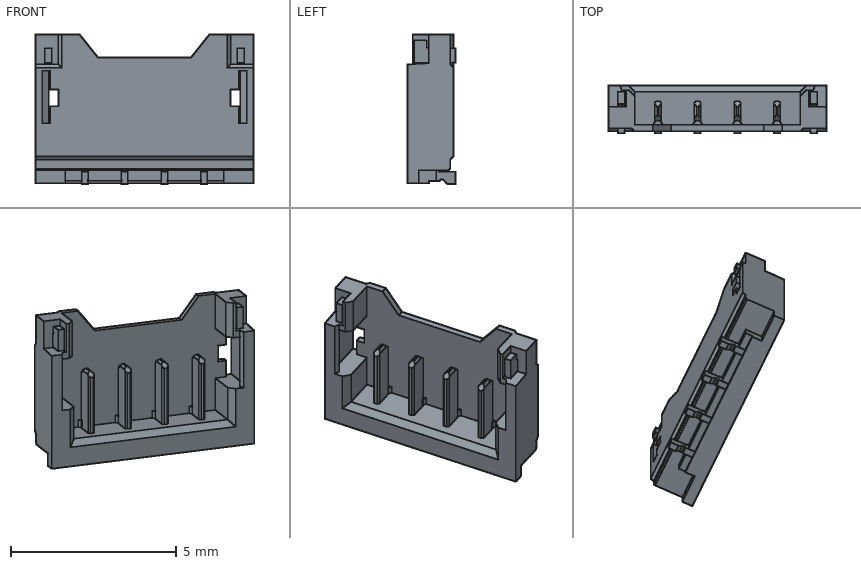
import cadquery as cq


width = 6.6
half_width = width / 2
depth = 1.39
height = 4.53
foot_bottom = 0.025
underside = 0.42

plate_thickness = 0.205
step_depth = 0.1
step_top = 0.845
step_bottom_chamfer = 0.05
notch_bottom = 3.835
notch_half_bottom = 1.405
notch_half_top = 1.96

cavity_half = 2.5
floor_top = 0.83
mouth_chamfer = 0.19

ear_step_y = 0.745
ear_back = 1.24
ear_step_half = 2.765
ear_chamfer = 0.17
ledge_back_z = 3.625
ledge_front_z = 3.655
recess_half = 2.61
recess_side_run = 0.105
recess_bottom = 3.625

window_outer_half = 3.095
window_inner_half = 2.86
window_bottom = 1.85
window_top = 3.425
window_tab_half = 2.6
window_tab_bottom = 2.36
window_tab_top = 2.865
pocket_slope_y = 1.115
pocket_neck_half = 2.89
pocket_mouth_half = 2.95

foot_front = 1.055
block_half = 2.4
block_front = 0.52
block_step_y = 0.74
block_bottom = 0.105

nail_width = 0.2
nail_center = 2.91
nail_bottom = 3.675
nail_top = 4.355
nail_corner_chamfer = 0.03
nail_neck_y = 0.805
nail_neck_bottom = 4.145
nail_root_top = 4.085
nail_back = 1.195
tab_top = 4.12

pin_count = 4
pin_pitch = 1.2
pin_width = 0.2
pin_front = 0.32
pin_back = 0.92
pin_edge_chamfer = 0.05
pin_top = 2.77
pin_end_bevel = 0.165
pin_side_bevel = 0.07
rib_front_half = 0.15
rib_back_half = 0.065
rib_top = 1.055
tail_front = -0.06
tail_top = 0.38
tail_step_y = 0.44
tail_root_bottom = 0.09
arch_root_y = 0.42
arch_back = 0.39
arch_front = 0.32
arch_top = 0.14
tail_heel = 0.185


def box(x0, x1, y0, y1, z0, z1):
    """Box given by its limits along each axis."""
    return cq.Workplane("XY").box(x1 - x0, y1 - y0, z1 - z0, centered=False).translate((x0, y0, z0))


def side_prism(points, x0, x1):
    """Prism along X with a (y, z) outline."""
    return cq.Workplane("YZ").workplane(offset=x0).polyline(points).close().extrude(x1 - x0)


def plan_prism(points, z0, z1):
    """Prism along Z with an (x, y) outline."""
    return cq.Workplane("XY").workplane(offset=z0).polyline(points).close().extrude(z1 - z0)


def front_prism(points, y0, y1):
    """Prism along Y with an (x, z) outline."""
    return cq.Workplane("XZ").workplane(offset=-y1).polyline(points).close().extrude(y1 - y0)


def both_sides(shape):
    """A shape on the right side together with its mirror image on the left."""
    return shape.union(shape.mirror("YZ"))


def housing_block():
    outline = [
        (0, height),
        (0, step_top),
        (step_depth, step_top - step_depth),
        (step_depth, underside + step_bottom_chamfer),
        (step_depth + step_bottom_chamfer, underside),
        (foot_front, underside),
        (foot_front, foot_bottom),
        (depth, foot_bottom),
        (depth, height),
    ]
    return side_prism(outline, -half_width, half_width)


def middle_block():
    outline = [
        (block_front, underside),
        (block_front, block_bottom),
        (block_step_y, block_bottom),
        (block_step_y, foot_bottom),
        (foot_front, foot_bottom),
        (foot_front, underside),
    ]
    return side_prism(outline, -block_half, block_half)


def cavity():
    room = box(-cavity_half, cavity_half, plate_thickness, depth, floor_top, height)
    mouth_half = cavity_half + mouth_chamfer
    side_flare = plan_prism(
        [(-cavity_half, depth - mouth_chamfer), (cavity_half, depth - mouth_chamfer),
         (mouth_half, depth), (-mouth_half, depth)],
        floor_top - mouth_chamfer, height)
    floor_flare = side_prism(
        [(depth - mouth_chamfer, floor_top), (depth, floor_top - mouth_chamfer),
         (depth, height), (depth - mouth_chamfer, height)],
        -mouth_half, mouth_half)
    return room.union(side_flare.intersect(floor_flare))


def plate_notch():
    outline = [
        (-notch_half_bottom, notch_bottom),
        (notch_half_bottom, notch_bottom),
        (notch_half_top, height),
        (-notch_half_top, height),
    ]
    return front_prism(outline, 0, plate_thickness)


def ear_cuts():
    ledge = side_prism(
        [(ear_step_y, ledge_front_z), (depth, ledge_back_z), (depth, height),
         (ear_step_y, height)],
        ear_step_half, half_width)
    back = box(cavity_half, ear_step_half, ear_back, depth, ledge_back_z, height)
    inner_corner = plan_prism(
        [(cavity_half, ear_back - ear_chamfer), (cavity_half + ear_chamfer, ear_back),
         (cavity_half, ear_back)],
        window_top, height)
    return both_sides(ledge.union(back).union(inner_corner))


def ear_front_recess():
    top_flank = side_prism(
        [(0, recess_bottom - step_depth), (step_depth, recess_bottom), (step_depth, height), (0, height)],
        recess_half - recess_side_run, half_width)
    side_flank = plan_prism(
        [(recess_half - recess_side_run, 0), (recess_half, step_depth),
         (half_width, step_depth), (half_width, 0)],
        recess_bottom - step_depth, height)
    return both_sides(top_flank.intersect(side_flank))


def latch_openings():
    slot = box(window_inner_half, window_outer_half, 0, plate_thickness, window_bottom, window_top)
    tab = box(window_tab_half, window_inner_half, 0, plate_thickness, window_tab_bottom, window_tab_top)
    pocket = plan_prism(
        [(cavity_half, plate_thickness), (window_outer_half, plate_thickness),
         (window_outer_half, pocket_slope_y), (pocket_neck_half, ear_back),
         (pocket_mouth_half, depth), (cavity_half, depth)],
        window_bottom, window_top)
    pocket_exit = plan_prism(
        [(cavity_half, ear_back), (pocket_neck_half, ear_back), (pocket_mouth_half, depth),
         (cavity_half, depth)],
        window_top, height)
    return both_sides(slot.union(tab).union(pocket).union(pocket_exit))


def nails():
    x0 = nail_center - nail_width / 2
    x1 = nail_center + nail_width / 2
    outline = [
        (ear_step_y, nail_bottom),
        (nail_back, nail_bottom),
        (nail_back, nail_top),
        (nail_neck_y + nail_corner_chamfer, nail_top),
        (nail_neck_y, nail_top - nail_corner_chamfer),
        (nail_neck_y, nail_neck_bottom),
        (ear_step_y, nail_root_top),
    ]
    back_tab = side_prism(outline, x0, x1)
    front_tab = box(x0, x1, tail_front, step_depth, nail_bottom, tab_top)
    return both_sides(back_tab.union(front_tab))


def contact():
    """One pin with its supporting rib and soldering tail, centred on x = 0."""
    half = pin_width / 2
    section = box(-half, half, pin_front, pin_back, floor_top, pin_top)
    section = section.edges("|Z and >Y").chamfer(pin_edge_chamfer)
    end_bevels = side_prism(
        [(pin_front, floor_top), (pin_back, floor_top), (pin_back, pin_top - pin_end_bevel),
         (pin_back - pin_end_bevel, pin_top), (pin_front + pin_end_bevel, pin_top),
         (pin_front, pin_top - pin_end_bevel)],
        -half, half)
    side_bevels = front_prism(
        [(-half, floor_top), (half, floor_top), (half, pin_top - pin_side_bevel),
         (half - pin_side_bevel, pin_top), (pin_side_bevel - half, pin_top),
         (-half, pin_top - pin_side_bevel)],
        pin_front, pin_back)
    pin = section.intersect(end_bevels).intersect(side_bevels)
    rib = plan_prism(
        [(-rib_front_half, plate_thickness), (rib_front_half, plate_thickness),
         (rib_back_half, pin_front), (-rib_back_half, pin_front)],
        floor_top, rib_top)
    tail = side_prism(
        [(tail_front, 0), (tail_heel, 0), (arch_front, arch_top), (arch_back, arch_top),
         (arch_root_y, tail_root_bottom), (block_step_y, tail_root_bottom), (block_step_y, underside),
         (tail_step_y, underside), (tail_step_y, tail_top), (tail_front, tail_top)],
        -half, half)
    return pin.union(rib).union(tail)


result = housing_block().union(middle_block())
for cut in (cavity(), plate_notch(), ear_cuts(), ear_front_recess(), latch_openings()):
    result = result.cut(cut)
result = result.union(nails())
for index in range(pin_count):
    pin_x = (index - (pin_count - 1) / 2) * pin_pitch
    result = result.union(contact().translate((pin_x, 0, 0)))